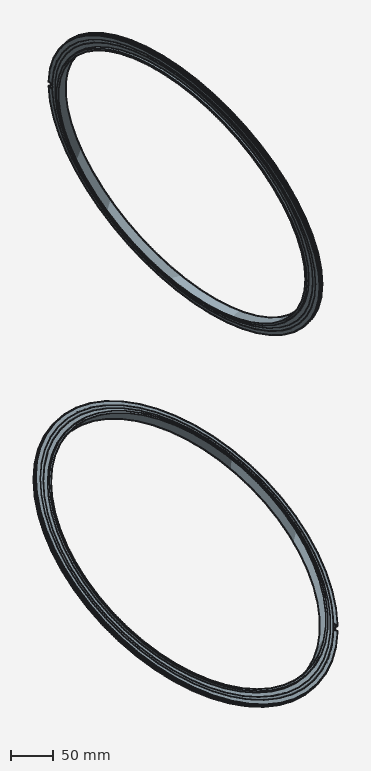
import cadquery as cq
import math


rim_width = 12.3
bore_radius = 394.0 / 2
rim_radius = 399.9 / 2

web_thickness = 5.6
half_web = web_thickness / 2

cord_radius = 3.5
cord_centre_radius = 208.25
cord_inner_radius = cord_centre_radius - cord_radius
cord_outer_radius = cord_centre_radius + cord_radius
exposed_half_width = math.sqrt(cord_radius**2 - half_web**2)

outer_radius = 432.98 / 2
groove_width = 2.0
half_groove = groove_width / 2
groove_depth = 1.0
gap_width = 9.0


def revolve_about_y(profile):
    """Turn a closed profile, with radius along X, once round the Y axis."""
    return profile.revolve(360, (0, 0, 0), (0, 1, 0))


def make_inner_ring():
    """Rim and web, with the web's outer edge hollowed to seat the seal."""
    half_rim = rim_width / 2
    seat_edge_radius = cord_centre_radius - exposed_half_width
    profile = (
        cq.Workplane("XY")
        .moveTo(bore_radius, -half_rim)
        .lineTo(rim_radius, -half_rim)
        .lineTo(rim_radius, -half_web)
        .lineTo(seat_edge_radius, -half_web)
        .threePointArc((cord_inner_radius, 0), (seat_edge_radius, half_web))
        .lineTo(rim_radius, half_web)
        .lineTo(rim_radius, half_rim)
        .lineTo(bore_radius, half_rim)
        .close()
    )
    return revolve_about_y(profile)


def make_seal():
    """O-ring of round cord."""
    profile = cq.Workplane("XY").moveTo(cord_centre_radius, 0).circle(cord_radius)
    return revolve_about_y(profile)


def make_outer_ring():
    """Flat ring that wraps the outside of the seal, grooved on its rim and cut through at -X."""
    seat_edge_radius = cord_centre_radius + exposed_half_width
    groove_floor_radius = outer_radius - groove_depth
    profile = (
        cq.Workplane("XY")
        .moveTo(seat_edge_radius, half_web)
        .threePointArc((cord_outer_radius, 0), (seat_edge_radius, -half_web))
        .lineTo(outer_radius, -half_web)
        .lineTo(outer_radius, -half_groove)
        .lineTo(groove_floor_radius, -half_groove)
        .lineTo(groove_floor_radius, half_groove)
        .lineTo(outer_radius, half_groove)
        .lineTo(outer_radius, half_web)
        .close()
    )
    gap_length = outer_radius + rim_width
    gap = cq.Workplane("XY").box(gap_length, rim_width, gap_width).translate((-gap_length / 2, 0, 0))
    return revolve_about_y(profile).cut(gap).solids()


inner_ring = make_inner_ring()
seal = make_seal()
outer_ring = make_outer_ring()

result = cq.Compound.makeCompound([inner_ring.val(), seal.val(), outer_ring.val()])